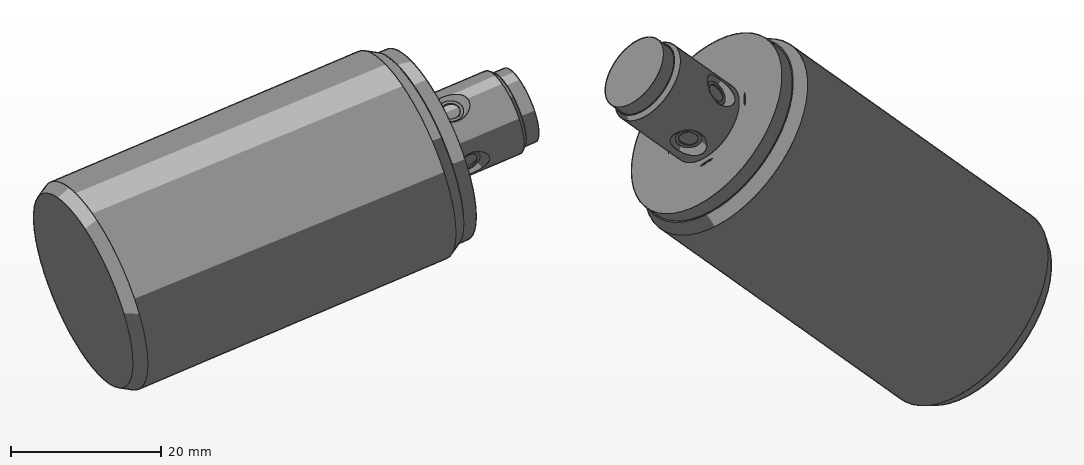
import cadquery as cq

total_length = 66.0
body_radius = 15.0
body_end_radius = 14.0
body_chamfer_length = 1.73
collar_radius = 13.8
collar_length = 2.0
stem_radius = 6.0
stem_length = 14.0
tip_radius = 5.35
tip_length = 2.0
stem_end_radius = 5.5
stem_chamfer_length = 0.6

recess_count = 4
recess_from_tip = 10.5
recess_floor_height = 5.08
recess_floor_radius = 1.75
hole_radius = 1.3
core_radius = 5.0
cutter_overshoot = 1.0

front_y = 0.0
tip_y = front_y + total_length
collar_top_y = tip_y - stem_length
body_top_y = collar_top_y - collar_length
stem_shoulder_y = tip_y - tip_length
recess_y = tip_y - recess_from_tip


def turned_body():
    """Body, collar, stem and tip revolved about the Y axis."""
    profile = [
        (0, front_y),
        (body_end_radius, front_y),
        (body_radius, front_y + body_chamfer_length),
        (body_radius, body_top_y - body_chamfer_length),
        (body_end_radius, body_top_y),
        (collar_radius, body_top_y),
        (collar_radius, collar_top_y),
        (stem_radius, collar_top_y),
        (stem_radius, stem_shoulder_y - stem_chamfer_length),
        (stem_end_radius, stem_shoulder_y),
        (tip_radius, stem_shoulder_y),
        (tip_radius, tip_y),
        (0, tip_y),
    ]
    return cq.Workplane("XY").polyline(profile).close().revolve(360, (0, 0, 0), (0, 1, 0))


def recess_cutter():
    """90 degree countersink opening toward +Z, with a shallow hole down to the core cylinder."""
    mouth_height = stem_radius + cutter_overshoot
    mouth_radius = recess_floor_radius + mouth_height - recess_floor_height
    half_profile = [
        (0, recess_floor_height),
        (recess_floor_radius, recess_floor_height),
        (mouth_radius, mouth_height),
        (0, mouth_height),
    ]
    countersink = cq.Workplane("XZ").polyline(half_profile).close().revolve(360, (0, 0, 0), (0, 1, 0))
    core = cq.Workplane("XZ").circle(core_radius).extrude(recess_floor_radius, both=True)
    hole = cq.Workplane("XY").circle(hole_radius).extrude(mouth_height).cut(core)
    return countersink.union(hole).translate((0, recess_y, 0))


result = turned_body()
for index in range(recess_count):
    angle = index * 360 / recess_count
    result = result.cut(recess_cutter().rotate((0, 0, 0), (0, 1, 0), angle))